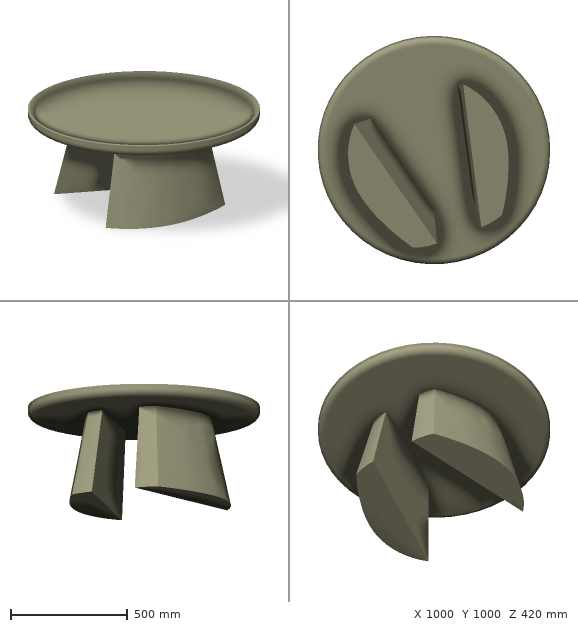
import cadquery as cq

table_radius = 500.0
table_height = 420.0

rim_height = 18.0
disc_thickness = 32.0
disc_edge_fillet = 28.0
rim_base_z = table_height - rim_height
leg_height = rim_base_z - disc_thickness

rim_floor_radius = 468.0
rim_bevel_radius = 473.0
rim_bevel_height = 2.0
rim_top_radius = 491.0
rim_edge_fillet = 3.0

front_corner = (-250.0, -308.0)
outer_curve = [(-314.0, -213.0), (-343.0, -90.0), (-308.0, 95.0)]
rear_corner = (-205.0, 289.0)
rear_tip = (-102.0, 308.0)

leg_top_scale_x = 0.787
leg_top_scale_y = 0.755
rear_tip_top_x = -88.0


def make_disc():
    """Disc with a rounded lower edge."""
    disc = cq.Workplane("XY").workplane(offset=leg_height).circle(table_radius).extrude(disc_thickness)
    return disc.faces("<Z").edges().fillet(disc_edge_fillet)


def make_rim():
    """Ring that stands on the disc, with a sloping inner wall and an eased outer edge."""
    section = (
        cq.Workplane("XZ")
        .moveTo(rim_floor_radius, rim_base_z)
        .lineTo(table_radius, rim_base_z)
        .lineTo(table_radius, table_height)
        .lineTo(rim_top_radius, table_height)
        .lineTo(rim_bevel_radius, rim_base_z + rim_bevel_height)
        .close()
    )
    rim = section.revolve(360, (0, 0, 0), (0, 1, 0))
    outer_top_edge = rim.faces(">Z").edges(cq.selectors.RadiusNthSelector(-1))
    return outer_top_edge.fillet(rim_edge_fillet)


def leg_outline(z, scale_x, scale_y, tip_x):
    """Closed leg outline at height z: bowed outer side, rounded rear end, straight inner side."""

    def place(point):
        return cq.Vector(point[0] * scale_x, point[1] * scale_y, z)

    front = place(front_corner)
    rear = place(rear_corner)
    tip = cq.Vector(tip_x, rear_tip[1] * scale_y, z)
    bow_points = [front] + [place(point) for point in outer_curve] + [rear]
    outer_side = cq.Edge.makeSpline(bow_points)
    rear_end = cq.Edge.makeTangentArc(tip, cq.Vector(-1, 0, 0), rear)
    inner_side = cq.Edge.makeLine(tip, front)
    return cq.Wire.assembleEdges([outer_side, rear_end, inner_side])


def make_leg(side):
    """Tapered leg; side is -1 for the left leg and 1 for the right leg."""
    bottom = leg_outline(0, 1, 1, rear_tip[0])
    top = leg_outline(leg_height, leg_top_scale_x, leg_top_scale_y, rear_tip_top_x)
    leg = cq.Workplane(cq.Solid.makeLoft([bottom, top], True))
    return leg.mirror("YZ") if side > 0 else leg


disc = make_disc()
rim = make_rim()
legs = [make_leg(side).val() for side in (-1, 1)]

result = cq.Compound.makeCompound([disc.val(), rim.val(), *legs])